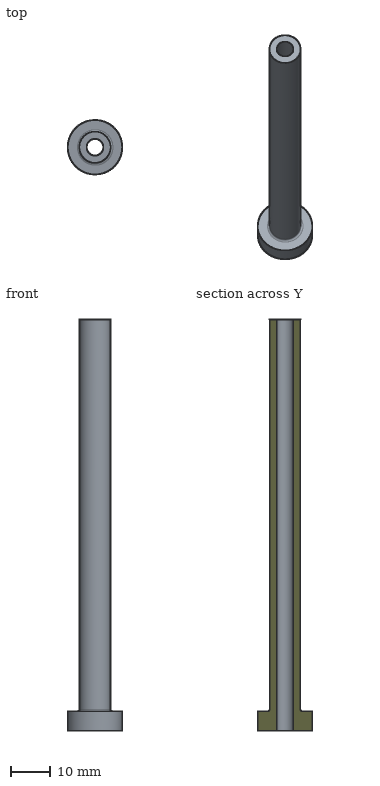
import cadquery as cq

total_length = 105.0
head_diameter = 14.0
head_height = 5.0
shaft_diameter = 8.0
bore_diameter = 4.2
neck_fillet_radius = 0.5

head = cq.Workplane("XY").circle(head_diameter / 2).extrude(head_height)

shaft = cq.Workplane("XY").circle(shaft_diameter / 2).extrude(total_length)

neck_corner = cq.selectors.RadiusNthSelector(0)
sleeve = head.union(shaft)
sleeve = sleeve.faces(cq.selectors.NearestToPointSelector(
    ((head_diameter + shaft_diameter) / 4, 0, head_height)
)).edges(neck_corner).fillet(neck_fillet_radius)

bore = cq.Workplane("XY").circle(bore_diameter / 2).extrude(total_length)
result = sleeve.cut(bore)